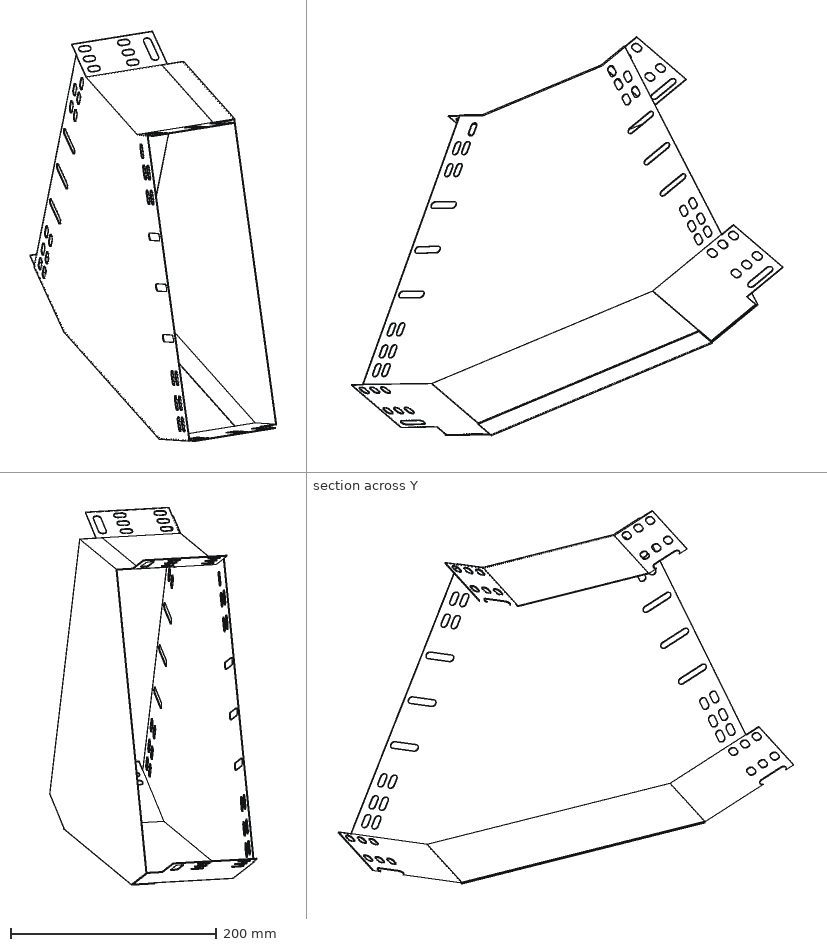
import cadquery as cq
import math


sheet = 1.0
depth = 102.0
tray_height = 301.5
half_tip = 227.5
bottom_half_flat = 131.5
top_half_flat = 70.5
bend_angle = math.radians(22.5)

plate_inset = 15.0
cover_inset = 45.0
notch_inset = 46.5

tray_rear = 100.0
wing_rear = 85.0
lip_width = 22.7
lip_front = depth - lip_width
cover_front = depth - sheet

wing_slot_size = (12.5, 7.5)
wing_slot_insets = [8.0, 22.0, 35.5]
wing_slot_depths = [12.0, 52.5]
wing_tie_slot_size = (30.0, 7.7)
wing_tie_slot_inset = 22.5
wing_tie_slot_depth = 76.0
plate_slot_size = (14.5, 7.0)
plate_slot_insets = [26.5, 38.0]
plate_slot_offsets = [89.0, 113.5, 134.5]
plate_tie_slot_size = (32.0, 7.5)
plate_tie_slot_inset = 36.0
plate_tie_slot_pitch = 50.0

bend_sin = math.sin(bend_angle)
bend_cos = math.cos(bend_angle)
bend_shift = sheet * math.tan(bend_angle / 2)
tip_height = (half_tip - bottom_half_flat) * math.tan(bend_angle)
side_length = (half_tip - top_half_flat) * bend_sin + (tray_height - tip_height) * bend_cos
slot_pattern_middle = side_length / 2

inward = (-bend_cos, 0, -bend_sin)
upward = (-bend_sin, 0, bend_cos)
frontward = (0, -1, 0)


def side_point(inset, along):
    """Point (x, z) at an inset from the wing ends, and a distance along from the bottom wing."""
    x = half_tip - inset * bend_cos - along * bend_sin
    z = tip_height - inset * bend_sin + along * bend_cos
    return (x, z)


def slab(points, y_start, y_end):
    """Extrude an outline in X and Z between two positions along Y."""
    start_plane = cq.Workplane("XZ", origin=(0, y_start, 0))
    return start_plane.polyline(points).close().extrude(y_start - y_end)


def symmetric_slab(right_half, y_start, y_end):
    """Slab whose outline is the given right half and its mirror image."""
    left_half = [(-x, z) for x, z in reversed(right_half)]
    return slab(right_half + left_half, y_start, y_end)


def make_front_plate():
    outline = [
        (bottom_half_flat, 0),
        side_point(plate_inset, 0),
        side_point(plate_inset, side_length),
        (top_half_flat, tray_height),
    ]
    return symmetric_slab(outline, 0, sheet)


def make_bottom_wall():
    outline = [
        (bottom_half_flat, 0),
        side_point(0, 0),
        side_point(0, sheet),
        (bottom_half_flat - bend_shift, sheet),
    ]
    return symmetric_slab(outline, sheet, tray_rear)


def make_top_wall():
    outline = [
        (top_half_flat, tray_height),
        side_point(0, side_length),
        side_point(0, side_length - sheet),
        (top_half_flat + bend_shift, tray_height - sheet),
    ]
    return symmetric_slab(outline, sheet, tray_rear)


def make_wing_notch():
    """Cutter that shortens the right-hand wings at the rear."""
    outline = [
        side_point(-sheet, -sheet),
        side_point(notch_inset, -sheet),
        side_point(notch_inset, side_length + sheet),
        side_point(-sheet, side_length + sheet),
    ]
    return slab(outline, wing_rear, depth)


def make_lip_gap(half_width, z_low, z_high):
    """Cutter that clears a flat wall where a lip of the cover takes its place."""
    outline = [(half_width, z_low), (half_width, z_high)]
    return symmetric_slab(outline, lip_front, depth)


def make_slot(size, inset, along, y, normal, angle=0):
    """Slot cutter through a right-hand sheet; at angle 0 its length points inward."""
    x, z = side_point(inset, along)
    plane = cq.Plane(origin=(x, y, z), xDir=inward, normal=normal)
    return cq.Workplane(plane).slot2D(*size, angle).extrude(2 * sheet, both=True)


def make_side_slots():
    """All slot cutters for the right-hand side of the tray."""
    slots = []
    for along in [0, side_length]:
        slots.append(
            make_slot(wing_tie_slot_size, wing_tie_slot_inset, along, wing_tie_slot_depth, upward)
        )
        for inset in wing_slot_insets:
            for y in wing_slot_depths:
                slots.append(make_slot(wing_slot_size, inset, along, y, upward, 90))
    for step in [-1, 0, 1]:
        along = slot_pattern_middle + step * plate_tie_slot_pitch
        slots.append(make_slot(plate_tie_slot_size, plate_tie_slot_inset, along, 0, frontward))
    for inset in plate_slot_insets:
        for offset in plate_slot_offsets:
            for side in [-1, 1]:
                if side * offset == plate_slot_offsets[-1] and inset == plate_slot_insets[0]:
                    continue
                along = slot_pattern_middle + side * offset
                slots.append(make_slot(plate_slot_size, inset, along, 0, frontward, 90))
    return slots


def make_tray():
    tray = make_front_plate().union(make_bottom_wall()).union(make_top_wall())
    tray = tray.cut(make_lip_gap(bottom_half_flat, -sheet, 2 * sheet))
    tray = tray.cut(make_lip_gap(top_half_flat, tray_height - 2 * sheet, tray_height + sheet))
    for cutter in [make_wing_notch(), *make_side_slots()]:
        tray = tray.cut(cutter).cut(cutter.mirror("YZ"))
    return tray


def make_cover():
    """Rear plate with a lip under the bottom wall and a lip level with the top wall."""
    top_along = (tray_height - tip_height + cover_inset * bend_sin) / bend_cos
    outline = [
        (bottom_half_flat, 0),
        side_point(cover_inset, 0),
        side_point(cover_inset, top_along),
    ]
    plate = symmetric_slab(outline, cover_front, depth)
    bottom_lip = symmetric_slab(
        [(bottom_half_flat, -sheet), (bottom_half_flat, 0)], lip_front, depth
    )
    top_lip = symmetric_slab(
        [(top_half_flat, tray_height - sheet), (top_half_flat, tray_height)],
        lip_front,
        cover_front,
    )
    return plate.union(bottom_lip).union(top_lip)


tray = make_tray()
cover = make_cover()
result = cq.Compound.makeCompound([tray.solids().val(), cover.solids().val()])